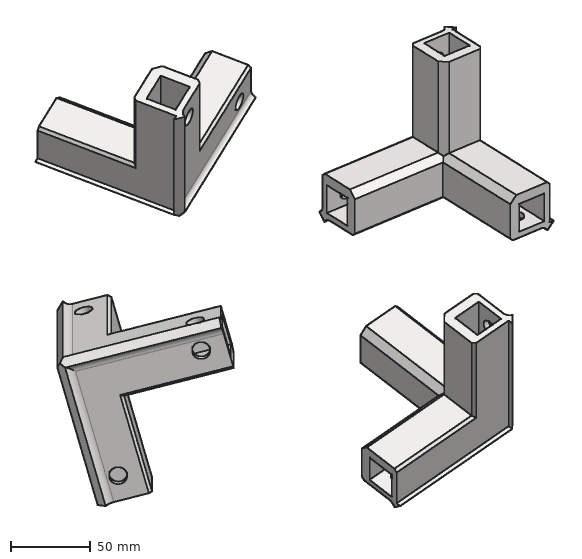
import cadquery as cq
import math

side_reach = 102.7
back_reach = 107.6

leg_inner = 35.6
wall_inset = 3.3
lip_edge = 5.3
small_chamfer = 2.0
large_chamfer = 5.0
flare_diameter = 11.5

socket_start = 7.8
socket_size = 20.5
socket_middle = socket_start + socket_size / 2

screw_diameter = 11.5
screw_end_distance = 16.7

flare_radius = flare_diameter / 2
flare_center_depth = wall_inset - flare_radius
flare_run = math.sqrt(flare_radius**2 - flare_center_depth**2)
flare_end = lip_edge + flare_run
flare_mid_angle = (math.pi / 2 + math.atan2(-flare_center_depth, -flare_run)) / 2
flare_mid = flare_end + flare_radius * math.cos(flare_mid_angle)
flare_mid_depth = flare_center_depth + flare_radius * math.sin(flare_mid_angle)

INTO_X = cq.Vector(-1, 0, 0)
INTO_Y = cq.Vector(0, 1, 0)
INTO_Z = cq.Vector(0, 0, 1)


def sketch_to_part(solid, u_axis, v_axis, along):
    """Move a solid drawn on u, v and extruded along w to the given part axes."""
    placed = solid
    if u_axis.cross(v_axis).dot(along) < 0:
        placed = placed.mirror("YZ")
        u_axis = u_axis * -1
    plane = cq.Plane(origin=(0, 0, 0), xDir=u_axis.toTuple(), normal=along.toTuple())
    return cq.Workplane(placed.val().moved(cq.Location(plane)))


def leg_section(flare_on_u):
    """Outline of a leg: v = 0 side always flared, u = 0 side flared or square-lipped."""
    outline = cq.Workplane("XY").moveTo(lip_edge, 0)
    outline = outline.threePointArc((flare_mid, flare_mid_depth), (flare_end, wall_inset))
    outline = (
        outline.lineTo(leg_inner - small_chamfer, wall_inset)
        .lineTo(leg_inner, wall_inset + small_chamfer)
        .lineTo(leg_inner, leg_inner - large_chamfer)
        .lineTo(leg_inner - large_chamfer, leg_inner)
        .lineTo(wall_inset + small_chamfer, leg_inner)
        .lineTo(wall_inset, leg_inner - small_chamfer)
    )
    if flare_on_u:
        outline = outline.lineTo(wall_inset, flare_end)
        outline = outline.threePointArc((flare_mid_depth, flare_mid), (0, lip_edge))
    else:
        outline = outline.lineTo(wall_inset, lip_edge).lineTo(0, lip_edge)
    return outline.close()


def leg(u_axis, v_axis, along, reach, flare_on_u):
    """Solid leg starting at the outer wall, so it does not fill the flares of the other legs."""
    body = leg_section(flare_on_u).extrude(reach - wall_inset).translate((0, 0, wall_inset))
    return sketch_to_part(body, u_axis, v_axis, along)


def leg_cuts(u_axis, v_axis, along, reach, flare_on_u):
    """Square socket down to the corner block, and the screw holes near the leg end."""
    socket = cq.Workplane("XY", origin=(0, 0, leg_inner))
    socket = socket.center(socket_middle, socket_middle).rect(socket_size, socket_size)
    cuts = socket.extrude(reach - leg_inner)
    hole_height = reach - screw_end_distance
    v_hole = cq.Workplane("XZ", origin=(socket_middle, 0, hole_height))
    cuts = cuts.union(v_hole.circle(screw_diameter / 2).extrude(-socket_middle))
    if flare_on_u:
        u_hole = cq.Workplane("YZ", origin=(0, socket_middle, hole_height))
        cuts = cuts.union(u_hole.circle(screw_diameter / 2).extrude(socket_middle))
    return sketch_to_part(cuts, u_axis, v_axis, along)


def edge_bevel(u_axis, v_axis, along):
    """Triangular prism that bevels the outer edge of the part along one leg."""
    triangle = cq.Workplane("XY").polyline([(0, 0), (lip_edge, 0), (0, lip_edge)]).close()
    return sketch_to_part(triangle.extrude(back_reach), u_axis, v_axis, along)


legs = [
    (INTO_Y, INTO_Z, INTO_X, side_reach, False),
    (INTO_Y, INTO_X, INTO_Z, side_reach, False),
    (INTO_X, INTO_Z, INTO_Y, back_reach, True),
]

result = cq.Workplane("XY").box(wall_inset, wall_inset, wall_inset, centered=False)
result = result.translate((-wall_inset, 0, 0))
for frame in legs:
    result = result.union(leg(*frame))
for u_axis, v_axis, along, reach, flare_on_u in legs:
    result = result.cut(edge_bevel(u_axis, v_axis, along))
    result = result.cut(leg_cuts(u_axis, v_axis, along, reach, flare_on_u))